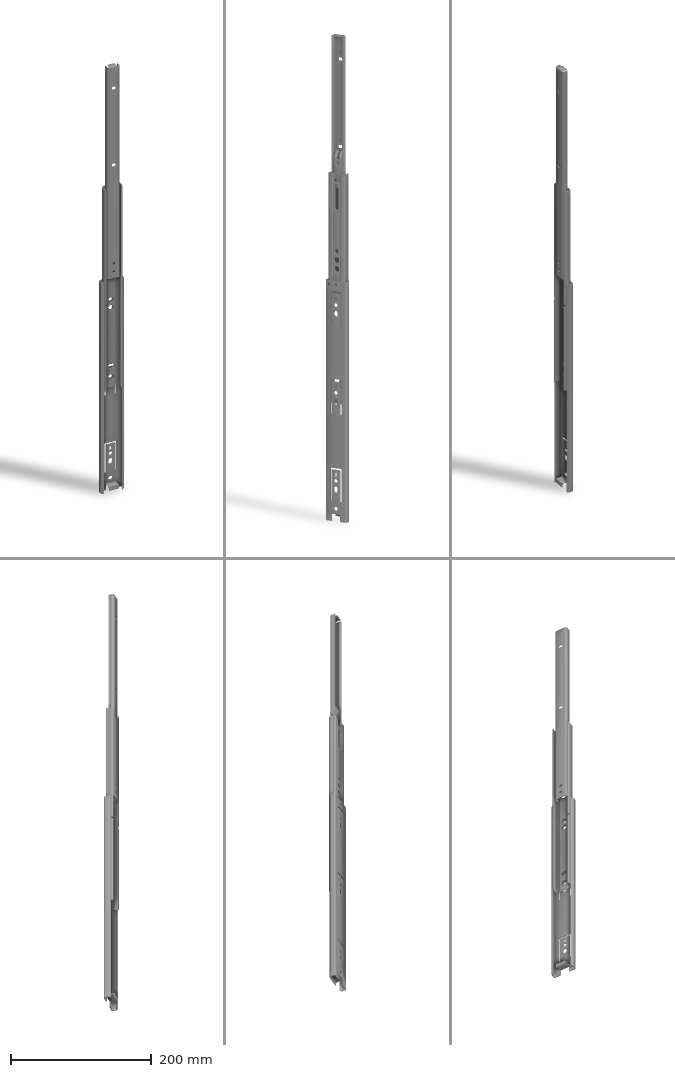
import cadquery as cq

sheet = 1.2
slide_depth = 12.7
slide_length = 706.0

outer_width = 35.98
outer_depth = 9.8
outer_length = 350.0
outer_bend = 2.5
outer_lip = 2.4

middle_width = 28.0
middle_back = 1.5
middle_bottom = 171.0
middle_top = 506.0
middle_bend = 2.2
middle_lip = 1.4
web_recess_mouth = 15.0
web_recess_floor = 12.0
web_recess_depth = 1.0

inner_width = 19.6
inner_back = 4.4
inner_length = 350.0
inner_bottom = slide_length - inner_length
inner_bend = 3.4

race_half_width = 1.5
race_depth = 0.5
race_x = 6.0
inner_race_x = 6.8


def block(x0, x1, y0, y1, z0, z1):
    return cq.Workplane("XY").box(x1 - x0, y1 - y0, z1 - z0, centered=False).translate((x0, y0, z0))


def mirrored_blocks(x0, x1, y0, y1, z0, z1):
    """Two equal blocks, one on each side of Y = 0."""
    return block(x0, x1, y0, y1, z0, z1).union(block(x0, x1, -y1, -y0, z0, z1))


def cross_hole(diameter, z, y=0.0):
    """Round cutter running through the whole slide along X."""
    return cq.Workplane("YZ").center(y, z).circle(diameter / 2).extrude(slide_depth)


def cross_slot(length, width, z):
    """Round-ended cutter, long in Z, running through the whole slide along X."""
    return cq.Workplane("YZ").center(0, z).slot2D(length, width, 90).extrude(slide_depth)


def race_outline(sketch, x_start, x_end, y, centre_x):
    """Flange outline along X at height y, with a rounded ball race dipping toward Y = 0."""
    step = race_half_width if x_end > x_start else -race_half_width
    inward = -race_depth if y > 0 else race_depth
    return (
        sketch.lineTo(centre_x - step, y)
        .threePointArc((centre_x, y + inward), (centre_x + step, y))
        .lineTo(x_end, y)
    )


def raced_section(x0, x1, half_width, centre_x):
    """Filled section whose two Y sides each carry a ball race."""
    sketch = cq.Workplane("XY").moveTo(x0, half_width)
    sketch = race_outline(sketch, x0, x1, half_width, centre_x).lineTo(x1, -half_width)
    return race_outline(sketch, x1, x0, -half_width, centre_x).close()


slot_width = 1.8
slot_y = 8.5
hole_diameter = 5.4
oblong_length = 9.0
oblong_width = 5.5
tongue_hole_width = 2.2
tongue_hole_height = 5.4
bridge_height = 3.4

mounting_tongues = [
    dict(top=335.0, cap=3.6, corner=2.0, foot=284.0, bridge=309.5, window=324.5, upper=315.0, lower=302.0),
    dict(top=207.0, cap=3.6, corner=2.0, foot=156.5, bridge=192.5, window=197.0, upper=187.0, lower=174.5),
    dict(top=77.5, cap=2.4, corner=0.0, foot=29.0, bridge=None, window=68.0, upper=59.0, lower=46.5),
]

stop_hole_z = 344.0
stop_hole_diameter = 5.0
stop_hole_y = 11.5
end_hole_z = 18.5
end_hole_diameter = 6.0
end_notch_half_width = 7.0
end_notch_height = 10.5

stop_tab_bottom = 5.0
stop_tab_half_width = 7.6
stop_tab_bend = 2.5


def outer_channel():
    half = outer_width / 2
    outside = [(0, half), (outer_depth - outer_lip, half), (outer_depth, half - outer_lip)]
    outside += [(x, -y) for x, y in reversed(outside)]
    body = cq.Workplane("XY").polyline(outside).close().extrude(outer_length)
    body = body.edges("|Z and <X").fillet(outer_bend)
    inner_half = half - sheet
    lip_start = outer_depth - outer_lip - sheet / 2
    mouth = inner_half - outer_lip
    inside = [(sheet, inner_half), (lip_start, inner_half)]
    inside += [(lip_start + outer_lip, mouth), (outer_depth, mouth)]
    inside += [(x, -y) for x, y in reversed(inside)]
    cavity = cq.Workplane("XY").polyline(inside).close().extrude(outer_length)
    return body.cut(cavity.edges("|Z and <X").fillet(outer_bend - sheet))


def tongue_cutter(top, cap, corner, foot, bridge, window, upper, lower):
    """Slots around one mounting tongue, with the tongue's own holes."""
    outer_edge = slot_y + slot_width / 2
    inner_edge = slot_y - slot_width / 2
    cap_bottom = top - cap
    cutter = block(0, sheet, -outer_edge, outer_edge, cap_bottom, top)
    if corner:
        cutter = cutter.edges("|X and >Z").fillet(corner)
    cutter = cutter.union(mirrored_blocks(0, sheet, inner_edge, outer_edge, foot, cap_bottom))
    if bridge:
        low = bridge - bridge_height / 2
        cutter = cutter.cut(block(0, sheet, -outer_edge, outer_edge, low, low + bridge_height))
    half_window = tongue_hole_width / 2
    window_bottom = window - tongue_hole_height / 2
    cutter = cutter.union(
        block(0, sheet, -half_window, half_window, window_bottom, window_bottom + tongue_hole_height)
    )
    cutter = cutter.union(cross_hole(hole_diameter, upper))
    return cutter.union(cross_slot(oblong_length, oblong_width, lower))


def stop_tab():
    """Tab bent out of the web above the end notch, turned down at its tip."""
    half = stop_tab_half_width
    top = end_notch_height + sheet
    tab = block(0, slide_depth, -half, half, stop_tab_bottom, top)
    under = block(0, slide_depth - sheet, -half, half, stop_tab_bottom, end_notch_height)
    return tab.cut(under.edges("|Y and >X and >Z").fillet(stop_tab_bend))


def make_outer_rail():
    rail = outer_channel()
    for tongue in mounting_tongues:
        rail = rail.cut(tongue_cutter(**tongue))
    for y in (-stop_hole_y, 0, stop_hole_y):
        rail = rail.cut(cross_hole(stop_hole_diameter, stop_hole_z, y))
    rail = rail.cut(cross_hole(end_hole_diameter, end_hole_z))
    half = end_notch_half_width
    rail = rail.cut(block(0, sheet, -half, half, 0, end_notch_height))
    return rail.union(stop_tab())


access_hole_diameter = 9.0
access_hole_levels = [206.0, 187.0, 315.0, 302.0]
shared_hole_levels = [380.0, 367.0]
shared_hole_diameter = 5.0
clearance_hole_diameter = 8.0
upper_hole_z = 393.0
upper_hole_diameter = 6.0
release_slot_bottom = 453.0
release_slot_top = 490.0
release_slot_width = 6.0
top_notch_half_width = 4.5
top_notch_bottom = 494.0
dimple_hole_z = 502.0
dimple_hole_y = 10.5
dimple_hole_diameter = 2.5
flange_notch_z = 314.0
flange_notch_height = 3.0
flange_notch_depth = 2.1


def web_recess_profile(x):
    """Trapezium sunk into +X from a web surface at x."""
    mouth = web_recess_mouth / 2
    floor = web_recess_floor / 2
    deep = x + web_recess_depth
    return cq.Workplane("XY").polyline([(x, mouth), (deep, floor), (deep, -floor), (x, -mouth)]).close()


def flange_lip_wedges(half_width):
    """Wedges whose removal slopes the free ends of a section's sides toward Y = 0."""
    length = middle_top - middle_bottom
    start = slide_depth - middle_lip
    corner = [(start, half_width), (slide_depth, half_width - middle_lip), (slide_depth, half_width)]
    wedge = cq.Workplane("XY").polyline(corner).close().extrude(length)
    return wedge.union(wedge.mirror("XZ"))


def middle_channel():
    length = middle_top - middle_bottom
    half = middle_width / 2
    body = raced_section(middle_back, slide_depth, half, race_x).extrude(length)
    body = body.edges("|Z and <X").fillet(middle_bend).cut(flange_lip_wedges(half))
    web_front = middle_back + sheet
    cavity = raced_section(web_front, slide_depth, half - sheet, race_x).extrude(length)
    cavity = cavity.edges("|Z and <X").fillet(middle_bend - sheet).cut(flange_lip_wedges(half - sheet))
    body = body.cut(cavity)
    body = body.union(web_recess_profile(web_front).extrude(length))
    body = body.cut(web_recess_profile(middle_back).extrude(length))
    return body.translate((0, 0, middle_bottom))


def make_middle_rail():
    rail = middle_channel()
    for z in access_hole_levels:
        rail = rail.cut(cross_hole(access_hole_diameter, z))
    for z in shared_hole_levels:
        rail = rail.cut(cross_hole(clearance_hole_diameter, z))
    rail = rail.cut(cross_hole(upper_hole_diameter, upper_hole_z))
    for y in (-dimple_hole_y, dimple_hole_y):
        rail = rail.cut(cross_hole(dimple_hole_diameter, dimple_hole_z, y))
    slot_middle = (release_slot_bottom + release_slot_top) / 2
    slot_length = release_slot_top - release_slot_bottom
    rail = rail.cut(cross_slot(slot_length, release_slot_width, slot_middle))
    half_notch = top_notch_half_width
    rail = rail.cut(block(0, slide_depth, -half_notch, half_notch, top_notch_bottom, middle_top))
    notch_bottom = flange_notch_z - flange_notch_height / 2
    notch = block(
        slide_depth - flange_notch_depth, slide_depth, -middle_width / 2, middle_width / 2,
        notch_bottom, notch_bottom + flange_notch_height,
    )
    return rail.cut(notch)


round_hole_levels = [680.0, 552.5]
oblong_hole_drop = 9.0
round_hole_diameter = 4.5
inner_oblong_height = 5.0
inner_oblong_width = 6.8
round_hole_depth = 0.8
end_tab_half_width = 5.5
end_tab_back = 3.2


def inner_channel():
    half = inner_width / 2
    body = raced_section(inner_back, slide_depth, half, inner_race_x).extrude(inner_length)
    body = body.edges("|Z and >X").fillet(inner_bend)
    cavity = raced_section(inner_back, slide_depth - sheet, half - sheet, inner_race_x).extrude(inner_length)
    body = body.cut(cavity.edges("|Z and >X").fillet(inner_bend - sheet))
    return body.translate((0, 0, inner_bottom))


def make_inner_rail():
    rail = inner_channel()
    web_back = slide_depth - sheet
    for z in round_hole_levels:
        blind = cross_hole(round_hole_diameter, z).intersect(
            block(0, web_back + round_hole_depth, -inner_width, inner_width, inner_bottom, slide_length)
        )
        rail = rail.cut(blind)
        oblong = cq.Workplane("YZ").center(0, z - oblong_hole_drop)
        rail = rail.cut(oblong.slot2D(inner_oblong_width, inner_oblong_height).extrude(slide_depth))
    for z in shared_hole_levels:
        rail = rail.cut(cross_hole(shared_hole_diameter, z))
    half = end_tab_half_width
    return rail.union(block(end_tab_back, slide_depth, -half, half, slide_length - sheet, slide_length))


lever_back = 5.0
lever_front = slide_depth - sheet
lever_bottom = 484.0
lever_top = 538.0
lever_half_width = 6.0
lever_arm_half_width = 2.0
lever_head_bottom = 497.0
lever_ramp_height = 8.0
lever_fork_half_width = 2.0
lever_fork_depth = 12.0
grip_groove_levels = [506.5, 509.5, 512.5]
grip_groove_height = 1.5
grip_groove_depth = 1.0
lever_pivot_z = 520.0
lever_pivot_diameter = 4.0


def make_release_lever():
    """Flat lever with a ramped, forked head and a narrow arm reaching down."""
    ramp_start = lever_top - lever_ramp_height
    profile = [
        (lever_front, lever_head_bottom), (lever_back, lever_head_bottom),
        (lever_back, ramp_start), (lever_front - sheet, lever_top), (lever_front, lever_top),
    ]
    half = lever_half_width
    lever = cq.Workplane("XZ").polyline(profile).close().extrude(half, both=True)
    fork = lever_fork_half_width
    lever = lever.cut(block(0, slide_depth, -fork, fork, lever_top - lever_fork_depth, lever_top))
    lever = lever.cut(cross_hole(lever_pivot_diameter, lever_pivot_z))
    for z in grip_groove_levels:
        lever = lever.cut(
            block(lever_back, lever_back + grip_groove_depth, -half, half, z, z + grip_groove_height)
        )
    arm = lever_arm_half_width
    return lever.union(block(lever_back, lever_front, -arm, arm, lever_bottom, lever_head_bottom))


outer_rail = make_outer_rail()
middle_rail = make_middle_rail()
inner_rail = make_inner_rail()
release_lever = make_release_lever()

result = cq.Compound.makeCompound(
    [outer_rail.val(), middle_rail.val(), inner_rail.val(), release_lever.val()]
)